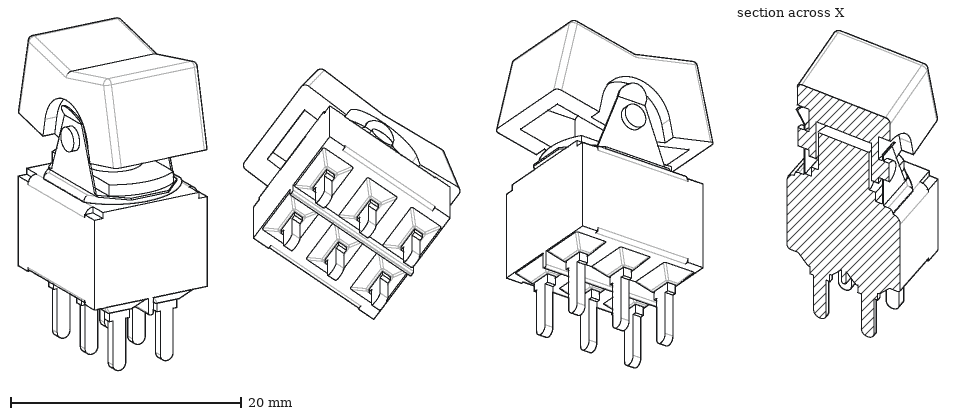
import cadquery as cq
import math


body_length = 12.85
body_width = 11.43
body_bottom = 6.65
body_top = 15.55
step_width = 0.85
step_depth = 0.55
rounded_length = 9.57
upper_edge_radius = 0.83
lower_edge_radius = 0.35

divider_thickness = 0.5
divider_bottom = 5.1
divider_edge_radius = 0.22

terminal_columns = 3
terminal_rows = 2
terminal_pitch_x = 4.7
terminal_pitch_y = 4.8
terminal_thickness = 0.83
terminal_width = 1.3
shoulder_width = 2.03
shoulder_bottom = 4.72
seat_bottom = 5.55
seat_top_x = 3.2
seat_top_y = 4.4
seat_taper = 42.0
seat_edge_radius = 0.22

washer_radius = 6.02
washer_width = 9.93
washer_top = 16.07
washer_edge_radius = 0.47
sheet_thickness = 0.17
bracket_length = 12.52
bracket_width = 8.05
bracket_corner_chamfer = 2.15
nut_radius = 5.8
nut_width = 6.5
nut_top = 17.3
bushing_diameter = 5.2
bushing_top = 21.65

ear_base_width = 7.38
ear_top_width = 2.85
ear_top = 21.92
lip_diameter = 3.2
lip_top = 23.28
lip_reach = 0.78

pin_diameter = 2.2
pin_span = 9.2
pivot_height = 20.2

rocker_tilt = 11.8
rocker_end_draft = 1.3
rocker_length = 16.87
rocker_width = 9.4
rocker_corner_height = 20.2
rocker_top = 27.75
rocker_edge_radius = 0.5
recess_radius = 3.65
recess_depth = 1.2
cavity_width = 5.55
cavity_length = 13.93
cavity_top = 22.75


def mirrored_profile(points):
    """Solid outline in the XZ plane, closed by mirroring points of the +X side."""
    left = [(-x, z) for x, z in reversed(points) if x > 0]
    return cq.Workplane("XZ").polyline(points + left).close()


def flatted_disc(radius, width, bottom, top):
    """Disc with two flats facing -Y and +Y."""
    disc = cq.Workplane("XY").workplane(offset=bottom).circle(radius).extrude(top - bottom)
    return disc.intersect(block_between(2 * radius, width, bottom, top))


def both_sides(solid):
    """The solid on the -Y side together with its mirror image on the +Y side."""
    return solid.union(solid.mirror("XZ"))


def block_between(length, width, bottom, top):
    """Rectangular block centred on the Z axis."""
    return cq.Workplane("XY").workplane(offset=bottom).rect(length, width).extrude(top - bottom)


def make_body():
    stepped = block_between(body_length, body_width - 2 * step_width, body_bottom, body_top)
    stepped = stepped.union(block_between(body_length, body_width, body_bottom, body_top - step_depth))
    middle = block_between(rounded_length, body_width, body_bottom, body_top)
    rounded = middle.edges("|X and >Z").fillet(upper_edge_radius)
    rounded = rounded.edges("|X and <Z").fillet(lower_edge_radius)
    return stepped.cut(middle).union(rounded)


def make_divider():
    wall = block_between(body_length, divider_thickness, divider_bottom, body_bottom)
    return wall.edges("|X and <Z").fillet(divider_edge_radius)


def make_terminal():
    """One terminal with its seat, centred on the Z axis."""
    half_width = terminal_width / 2
    half_shoulder = shoulder_width / 2
    blade = (
        cq.Workplane("YZ")
        .moveTo(-half_width, half_width)
        .threePointArc((0, 0), (half_width, half_width))
        .lineTo(half_width, shoulder_bottom)
        .lineTo(half_shoulder, shoulder_bottom)
        .lineTo(half_shoulder, body_bottom)
        .lineTo(-half_shoulder, body_bottom)
        .lineTo(-half_shoulder, shoulder_bottom)
        .lineTo(-half_width, shoulder_bottom)
        .close()
        .extrude(terminal_thickness / 2, both=True)
    )
    seat = (
        cq.Workplane("XY")
        .workplane(offset=body_bottom)
        .rect(seat_top_x, seat_top_y)
        .extrude(seat_bottom - body_bottom, taper=seat_taper)
    )
    seat = seat.edges("not >Z").fillet(seat_edge_radius)
    return blade.union(seat)


def make_mounting_stack():
    """Washer, nut and bushing."""
    washer = flatted_disc(washer_radius, washer_width, body_top, washer_top)
    washer = washer.faces(">Z").edges().fillet(washer_edge_radius)
    nut = flatted_disc(nut_radius, nut_width, washer_top, nut_top)
    bushing = cq.Workplane("XY").workplane(offset=body_top).circle(bushing_diameter / 2)
    return washer.union(nut).union(bushing.extrude(bushing_top - body_top))


def make_lip():
    """Lip of the -Y ear: a plate leaning outwards from the top of the ear, its upper end round."""
    outer_y = -bracket_width / 2
    lip = (
        cq.Workplane("YZ")
        .moveTo(outer_y, ear_top)
        .lineTo(outer_y - lip_reach, lip_top)
        .lineTo(outer_y - lip_reach + sheet_thickness, lip_top)
        .lineTo(outer_y + sheet_thickness, ear_top)
        .close()
        .extrude(ear_top_width / 2, both=True)
    )
    lip_radius = lip_diameter / 2
    round_end = cq.Workplane("XZ").center(0, lip_top - lip_radius).circle(lip_radius).extrude(bracket_width)
    return lip.intersect(round_end)


def make_bracket():
    plate = block_between(bracket_length, bracket_width, washer_top, washer_top + sheet_thickness)
    plate = plate.edges("|Z").chamfer(bracket_corner_chamfer)
    ear = mirrored_profile([(ear_base_width / 2, washer_top), (ear_top_width / 2, ear_top)])
    ear = ear.extrude(-sheet_thickness).translate((0, -bracket_width / 2, 0))
    return plate.union(both_sides(ear.union(make_lip())))


def make_recess():
    """Arched recess around the -Y ear, its sides square to the tilted underside."""
    tilt = math.radians(rocker_tilt)
    tangent_x = recess_radius * math.cos(tilt)
    tangent_z = recess_radius * math.sin(tilt)
    foot_x = tangent_x + (recess_radius + tangent_z) * math.tan(tilt)
    return (
        cq.Workplane("XZ", origin=(0, -rocker_width / 2, pivot_height))
        .moveTo(-foot_x, -recess_radius)
        .lineTo(-tangent_x, tangent_z)
        .threePointArc((0, recess_radius), (tangent_x, tangent_z))
        .lineTo(foot_x, -recess_radius)
        .close()
        .extrude(-recess_depth)
    )


def make_pin():
    """Pivot pin of the -Y ear, ending flush with the cavity of the rocker."""
    pin = cq.Workplane("XZ", origin=(0, -cavity_width / 2, pivot_height)).circle(pin_diameter / 2)
    return pin.extrude((pin_span - cavity_width) / 2)


def make_rocker_half():
    """The +X half: a rounded block tilted about its lower outer edge and trimmed at X = 0."""
    tilt = math.radians(rocker_tilt)
    draft = math.radians(rocker_end_draft)
    half_turn = (math.pi / 2 - draft) / 2
    corner_reach = rocker_edge_radius / math.cos(half_turn)
    corner_rise = corner_reach * math.cos(half_turn - tilt) - rocker_edge_radius
    end_face_height = (rocker_top + corner_rise - rocker_corner_height) / math.cos(tilt + draft)
    block_height = end_face_height * math.cos(draft)
    block = (
        cq.Workplane("XZ")
        .lineTo(-rocker_length, 0)
        .lineTo(-rocker_length, block_height)
        .lineTo(-block_height * math.tan(draft), block_height)
        .close()
        .extrude(rocker_width / 2, both=True)
    )
    block = block.faces(">X or >Z").edges("not <Z").fillet(rocker_edge_radius)
    block = block.rotate((0, 0, 0), (0, 1, 0), -rocker_tilt)
    block = block.translate((rocker_length / 2, 0, rocker_corner_height))
    trim = cq.Workplane("XY").box(rocker_length, rocker_length, 2 * rocker_top, centered=(False, True, True))
    return block.intersect(trim)


def make_rocker():
    half = make_rocker_half()
    slope = math.tan(math.radians(rocker_tilt))
    cavity_foot = rocker_corner_height - rocker_length / 2 * slope
    foot_length = cavity_length + 2 * (rocker_corner_height - cavity_foot) * slope
    roof_length = foot_length - 2 * (cavity_top - cavity_foot) * slope
    cavity = mirrored_profile([(foot_length / 2, cavity_foot), (roof_length / 2, cavity_top)])
    rocker = half.union(half.mirror("YZ")).cut(cavity.extrude(cavity_width / 2, both=True))
    return rocker.cut(both_sides(make_recess()))


def make_terminals():
    """All terminals, spread over a grid of columns and rows."""
    grid = cq.Workplane("XY").rarray(terminal_pitch_x, terminal_pitch_y, terminal_columns, terminal_rows)
    terminal = make_terminal().val()
    return grid.eachpoint(lambda place: terminal.moved(place), combine=False)


result = (
    make_body()
    .union(make_divider())
    .union(make_terminals())
    .union(make_mounting_stack())
    .union(make_bracket())
    .union(make_rocker())
    .union(both_sides(make_pin()))
)